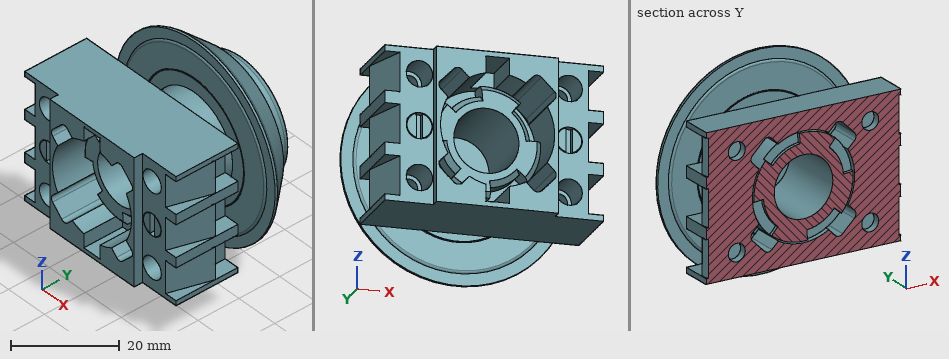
import cadquery as cq
import math


block_width = 42.1
block_height = 30.0
block_back = 17.18
shoulder_y = 2.05
raised_width = 23.5

block_bore_radius = 11.0
notch_depth = 9.5
square_notch_width = 4.55
square_notch_reach = 14.0
diagonal_notch_width = 5.8
diagonal_notch_reach = 13.7
diagonal_notch_fillet = 1.1

terminal_pitch = 10.0
pocket_height = 7.6
pocket_ramp_inset = 2.9
pocket_ramp_end_y = 11.65
pocket_back_inset = 3.5

terminal_x = 14.4
terminal_hole_radius = 2.55
terminal_hole_depth = 6.68
terminal_core_radius = 1.8
terminal_core_depth = 9.8
screw_radius = 2.4
screw_slot_width = 1.2
screw_slot_depth = 1.1

stem_radius = 10.75
stem_bore_radius = 6.27
flange_radius = 13.8
stem_front_y = 6.9
lug_chamfer = 1.0
lug_count = 4
lug_gap_start = 40.0
lug_gap_angle = 180 / lug_count
lug_gap_radius = 8.7
lug_gap_chamfer = 1.05
lug_gap_depth = 4.0

seal_front_y = 24.9
seal_outer_radius = 19.95
seal_round = 0.6
seal_inner_radius = 13.97

bezel_front_y = 25.25
bezel_radius = 22.25
rim_end_y = 25.8
cone_start_y = 26.25
cone_start_radius = 22.0
cone_end_y = 32.25
cone_end_radius = 16.65

button_radius = 13.57
button_start_y = 33.45
button_end_y = 36.7
button_fillet = 1.4
collar_base_radius = 14.55


def box(x_range, y_range, z_range):
    """Return a box that spans the given ranges."""
    size = [high - low for low, high in (x_range, y_range, z_range)]
    corner = (x_range[0], y_range[0], z_range[0])
    return cq.Workplane("XY").box(*size, centered=False).translate(corner)


def cylinder(radius, start_y, end_y, x=0, z=0):
    """Return a cylinder along Y between two Y values."""
    return cq.Workplane("XZ", origin=(x, start_y, z)).circle(radius).extrude(start_y - end_y)


def turned(profile, angle=360):
    """Revolve an outline of (Y, radius) points about the Y axis, starting at +Z."""
    return cq.Workplane("YZ").polyline(profile).close().revolve(angle, (0, 0), (1, 0))


def make_block_bore():
    """Return the through bore with two blind square notches and four diagonal through notches."""
    bore = cylinder(block_bore_radius, 0, block_back)
    square_notches = box(
        (-square_notch_width / 2, square_notch_width / 2),
        (0, notch_depth),
        (-square_notch_reach, square_notch_reach),
    )
    bore = bore.union(square_notches)
    diagonal_notches = box(
        (-diagonal_notch_reach, diagonal_notch_reach),
        (0, block_back),
        (-diagonal_notch_width / 2, diagonal_notch_width / 2),
    )
    diagonal_notches = diagonal_notches.edges("|Y").fillet(diagonal_notch_fillet)
    for angle in (45, 135):
        bore = bore.union(diagonal_notches.rotate((0, 0, 0), (0, 1, 0), angle))
    return bore


def make_side_pocket(side, z):
    """Return one side pocket: a ramp at the front and a flat recess behind it."""
    face_x = side * block_width / 2
    ramp_x = face_x - side * pocket_ramp_inset
    recess_x = face_x - side * pocket_back_inset
    outline = [
        (face_x, shoulder_y),
        (ramp_x, shoulder_y),
        (face_x, pocket_ramp_end_y),
        (recess_x, pocket_ramp_end_y),
        (recess_x, block_back),
        (face_x, block_back),
    ]
    ramp = outline[:3]
    recess = outline[2:]
    plane = cq.Workplane("XY", origin=(0, 0, z - pocket_height / 2))
    pocket = plane.polyline(ramp).close().extrude(pocket_height)
    return pocket.union(plane.polyline(recess).close().extrude(pocket_height))


def make_block():
    half_width = block_width / 2
    half_height = block_height / 2
    block = box((-half_width, half_width), (shoulder_y, block_back), (-half_height, half_height))
    raised = box((-raised_width / 2, raised_width / 2), (0, shoulder_y), (-half_height, half_height))
    block = block.union(raised).cut(make_block_bore())
    for side in (-1, 1):
        x = side * terminal_x
        for row in (-1, 0, 1):
            z = row * terminal_pitch
            block = block.cut(make_side_pocket(side, z))
            block = block.cut(cylinder(terminal_hole_radius, shoulder_y, shoulder_y + terminal_hole_depth, x, z))
            if row:
                block = block.cut(cylinder(terminal_core_radius, shoulder_y, shoulder_y + terminal_core_depth, x, z))
    return block


def make_screw(side):
    x = side * terminal_x
    screw = cylinder(screw_radius, shoulder_y, shoulder_y + terminal_hole_depth, x)
    slot = box(
        (x - screw_slot_width / 2, x + screw_slot_width / 2),
        (shoulder_y, shoulder_y + screw_slot_depth),
        (-screw_radius, screw_radius),
    )
    return screw.cut(slot)


def make_stem():
    stem = turned([
        (stem_front_y, stem_bore_radius),
        (stem_front_y, stem_radius - lug_chamfer),
        (stem_front_y + lug_chamfer, stem_radius),
        (seal_front_y, stem_radius),
        (seal_front_y, flange_radius),
        (bezel_front_y, flange_radius),
        (bezel_front_y, stem_bore_radius),
    ])
    gap = turned([
        (stem_front_y, lug_gap_radius - lug_gap_chamfer),
        (stem_front_y + lug_gap_chamfer, lug_gap_radius),
        (stem_front_y + lug_gap_depth, lug_gap_radius),
        (stem_front_y + lug_gap_depth, block_bore_radius),
        (stem_front_y, block_bore_radius),
    ], lug_gap_angle)
    for number in range(lug_count):
        angle = number * 360 / lug_count + lug_gap_start
        stem = stem.cut(gap.rotate((0, 0, 0), (0, 1, 0), angle))
    return stem


def make_seal():
    """Return the flat ring around the stem flange, its outer edge rounded towards the front."""
    thickness = bezel_front_y - seal_front_y
    round_width = math.sqrt(seal_round**2 - (seal_round - thickness) ** 2)
    profile = (
        cq.Workplane("YZ")
        .moveTo(bezel_front_y, seal_inner_radius)
        .lineTo(seal_front_y, seal_inner_radius)
        .lineTo(seal_front_y, seal_outer_radius - round_width)
        .radiusArc((bezel_front_y, seal_outer_radius), seal_round)
        .close()
    )
    return profile.revolve(360, (0, 0), (1, 0))


def make_bezel():
    return turned([
        (bezel_front_y, 0),
        (bezel_front_y, bezel_radius),
        (rim_end_y, bezel_radius),
        (cone_start_y, cone_start_radius),
        (cone_end_y, cone_end_radius),
        (cone_end_y, collar_base_radius),
        (button_start_y, button_radius),
        (button_start_y, 0),
    ])


def make_button():
    button = turned([
        (button_start_y, 0),
        (button_start_y, button_radius),
        (button_end_y, button_radius),
        (button_end_y, 0),
    ])
    return button.faces(">Y").edges().fillet(button_fillet)


block = make_block()
screws = [make_screw(side) for side in (-1, 1)]
stem = make_stem()
seal = make_seal()
bezel = make_bezel()
button = make_button()

result = cq.Compound.makeCompound([
    block.val(),
    *[screw.val() for screw in screws],
    stem.val(),
    seal.val(),
    bezel.val(),
    button.val(),
])